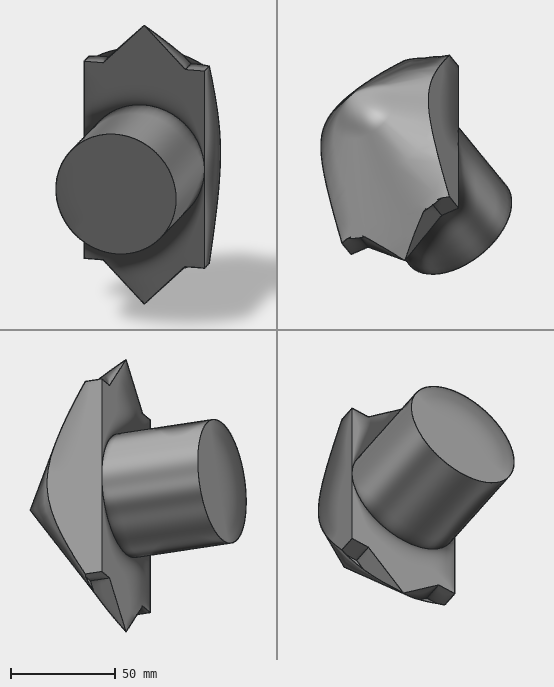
import cadquery as cq
import math

height = 140.0
width = 60.0
cone_length = 50.0
stem_length = 50.0
star_depth = 10.0

cone_radius = height / 2
star_side = cone_radius * math.sqrt(2)


def base_plane():
    """Workplane on the cone base; extrusions run toward +Y."""
    return cq.Workplane("XZ").transformed(rotate=(180, 0, 0))


def make_cone():
    return cq.Workplane(obj=cq.Solid.makeCone(
        cone_radius, 0, cone_length, pnt=cq.Vector(0, 0, 0), dir=cq.Vector(0, 1, 0)
    ))


def make_envelope():
    """Eight-pointed star up to the rim depth, then the full round of the cone."""
    square = base_plane().rect(star_side, star_side).extrude(star_depth)
    diamond = square.rotate((0, 0, 0), (0, 1, 0), 45)
    round_section = (
        base_plane().workplane(offset=star_depth)
        .circle(height).extrude(cone_length)
    )
    return square.union(diamond).union(round_section)


def make_side_trim():
    """Slab that cuts the head to two flat sides."""
    return base_plane().rect(width, 2 * height).extrude(2 * cone_length)


def make_stem():
    """Cylinder tangent to the planes of the flat sides."""
    return cq.Workplane("XZ").circle(width / 2).extrude(stem_length)


head = make_cone().intersect(make_envelope()).intersect(make_side_trim())
result = head.union(make_stem())